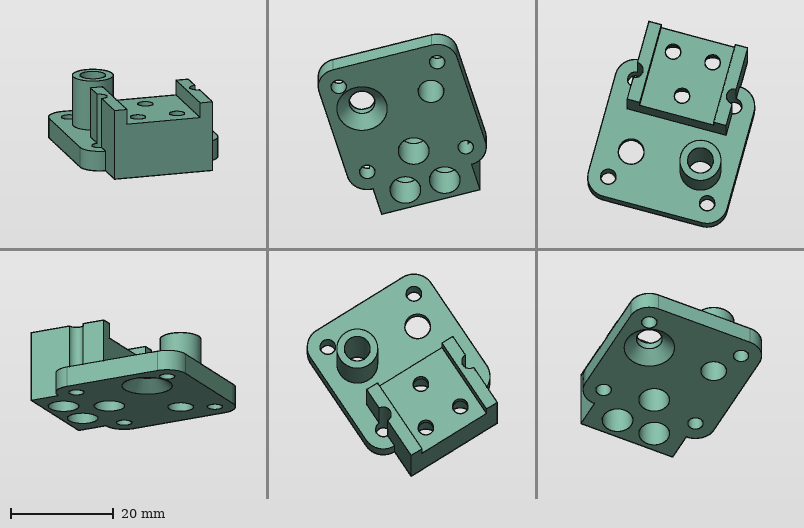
import cadquery as cq

plate_side = 28.0
plate_thickness = 4.0
corner_radius = 4.0
corner_hole_spacing = plate_side - 2 * corner_radius
screw_hole_diameter = 3.0

overall_height = 14.0
bore_diameter = 5.0
boss_diameter = 8.0
bore_x = -4.0
bore_y = 7.0

overall_length = 34
block_length = 16.0
block_width = corner_hole_spacing
block_end_x = overall_length - plate_side / 2
block_center_x = block_end_x - block_length / 2
channel_wall = 2.5
channel_depth = 3.0

single_hole_inset = 12.0
pair_hole_inset = 4.0
pair_hole_spacing = 8.0

block_straight_depth = 1.5
plate_straight_depth = 1.6
block_recess_diameter = 6.0
plate_recess_diameter = bore_diameter + 2 * (plate_thickness - plate_straight_depth)

corner_offset = corner_hole_spacing / 2
corner_points = [(x, y) for x in (-corner_offset, corner_offset) for y in (-corner_offset, corner_offset)]
block_points = [(block_end_x - single_hole_inset, 0)]
for side in (-1, 1):
    block_points.append((block_end_x - pair_hole_inset, side * pair_hole_spacing / 2))
boss_point = (bore_x, -bore_y)
plain_bore_point = (bore_x, bore_y)


def vertical_holes(points, diameter, height=overall_height):
    """Cylinders at the given points, rising from the underside to the given height."""
    return cq.Workplane("XY").pushPoints(points).circle(diameter / 2).extrude(height)


def widening_cones(points, top_diameter, bottom_diameter, top_z):
    """45 degree cones that grow downward from top_z, together with the Z of their wide end."""
    height = (bottom_diameter - top_diameter) / 2
    cone = cq.Solid.makeCone(bottom_diameter / 2, top_diameter / 2, height)
    bottom_z = top_z - height
    cones = cq.Workplane("XY").pushPoints(points).eachpoint(lambda place: cone.moved(place))
    return cones.translate((0, 0, bottom_z)), bottom_z


def make_plate():
    plate = cq.Workplane("XY").box(plate_side, plate_side, plate_thickness, centered=(True, True, False))
    return plate.edges("|Z").fillet(corner_radius)


def make_boss():
    return cq.Workplane("XY").center(*boss_point).circle(boss_diameter / 2).extrude(overall_height)


def make_block():
    block = (
        cq.Workplane("XY")
        .center(block_center_x, 0)
        .rect(block_length, block_width)
        .extrude(overall_height)
    )
    channel = (
        cq.Workplane("XY", origin=(block_center_x, 0, overall_height - channel_depth))
        .rect(block_length, block_width - 2 * channel_wall)
        .extrude(channel_depth)
    )
    return block.cut(channel)


result = make_plate().union(make_boss()).union(make_block())
result = result.cut(vertical_holes(corner_points + block_points, screw_hole_diameter))
result = result.cut(vertical_holes([boss_point, plain_bore_point], bore_diameter))

channel_floor_z = overall_height - channel_depth
block_cones, block_recess_top = widening_cones(
    block_points, screw_hole_diameter, block_recess_diameter, channel_floor_z - block_straight_depth
)
result = result.cut(block_cones)
result = result.cut(vertical_holes(block_points, block_recess_diameter, block_recess_top))

plate_cone, _ = widening_cones(
    [plain_bore_point], bore_diameter, plate_recess_diameter, plate_thickness - plate_straight_depth
)
result = result.cut(plate_cone)